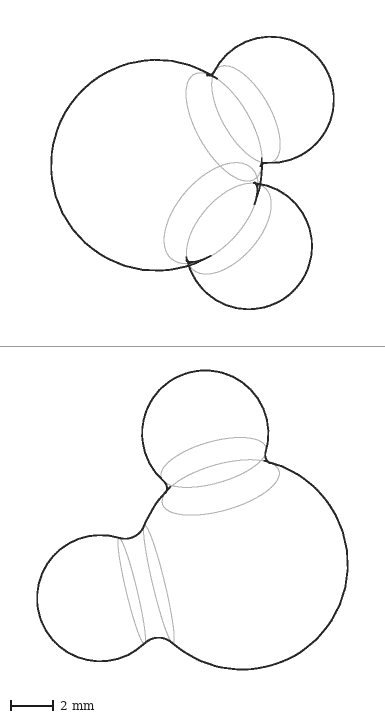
import cadquery as cq
import math

overall_length = 14.95
body_diameter = 10.0
ball_diameter = 6.0
neck_fillet = 1.0

body_radius = body_diameter / 2
ball_radius = ball_diameter / 2
ball_distance = overall_length - body_radius - ball_radius

body_reach = body_radius + neck_fillet
ball_reach = ball_radius + neck_fillet
neck_x = (ball_distance**2 + body_reach**2 - ball_reach**2) / (2 * ball_distance)
neck_y = math.sqrt(body_reach**2 - neck_x**2)


def along(start, end, distance):
    """Point at a distance from start on the line towards end."""
    share = distance / math.dist(start, end)
    return tuple(a + share * (b - a) for a, b in zip(start, end))


def body_with_ball():
    """Central sphere joined to one ball on +X, revolved about the X axis."""
    body_center = (0, 0)
    ball_center = (ball_distance, 0)
    neck_center = (neck_x, neck_y)
    body_tangent = along(body_center, neck_center, body_radius)
    ball_tangent = along(ball_center, neck_center, ball_radius)
    neck_bottom = (neck_x, neck_y - neck_fillet)
    profile = (
        cq.Workplane("XY")
        .moveTo(-body_radius, 0)
        .threePointArc((0, body_radius), body_tangent)
        .threePointArc(neck_bottom, ball_tangent)
        .threePointArc((ball_distance, ball_radius), (ball_distance + ball_radius, 0))
        .close()
    )
    return profile.revolve(360, (0, 0, 0), (1, 0, 0))


x_arm = body_with_ball()
y_arm = x_arm.rotate((0, 0, 0), (0, 0, 1), 90)
result = x_arm.union(y_arm)